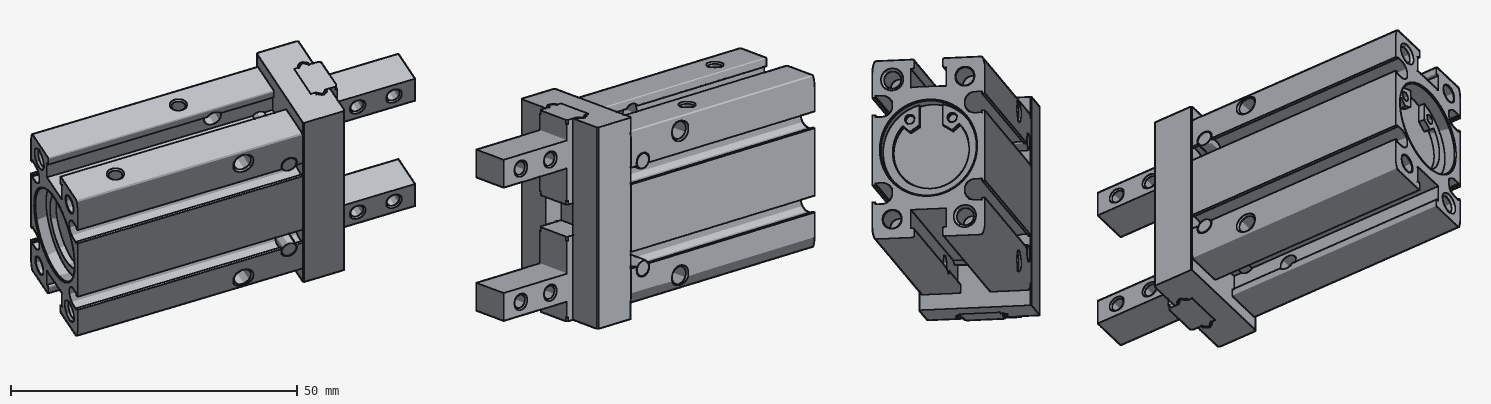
import cadquery as cq
import math

TOTAL_LENGTH = 67.4
WIDTH = 20.0
HALF_WIDTH = WIDTH / 2

BODY_LENGTH = 43.15
BODY_HALF_HEIGHT = 16.0
SHOULDER_Z = 13.95
SHOULDER_RADIUS = 4.7
CORNER_FILLET = 0.5

SLOT_MOUTH_WIDTH = 5.05
SLOT_INNER_WIDTH = 6.3
SLOT_FLOOR_Z = 11.0
SLOT_LIP_Z = 14.3
SLOT_LIP_FILLET = 0.35

GROOVE_WIDTH = 3.8
GROOVE_MOUTH = 3.1
GROOVE_LIP_X = 9.5
GROOVE_X = 8.3
GROOVE_Z = 7.8

PIN_DIAMETER = 3.0
PIN_END_DIAMETER = 2.75
PIN_TAPER_START_X = 9.5
PIN_Y = 40.45
PIN_Z = 10.0

BORE_DIAMETER = 17.0
BORE_CHAMFER = 0.2
BORE_DEPTH = 3.4
RING_INNER_RADIUS = 6.8
RING_FRONT_Y = 2.2
RING_GAP_HALF = 2.1
RING_EAR_X = 3.8
RING_EAR_HOLE_Z = 5.8
RING_EAR_SHOULDER_Z = 4.6
RING_EAR_TIP_Z = 3.5
RING_EAR_OUTER_X = 5.0
RING_EAR_HOLE_DIAMETER = 1.7

END_HOLE_X = 6.5
END_HOLE_Z = 12.55
END_HOLE_DEPTH = 6.75
END_TAP_DIAMETER = 3.0
END_TAP_MOUTH = 4.0
END_DOWEL_DIAMETER = 3.25
END_DOWEL_MOUTH = 3.45
SIDE_HOLE_DIAMETER = 3.25
SIDE_HOLE_MOUTH = 3.9
SIDE_HOLE_Y = 31.7
SIDE_HOLE_Z = 13.5
PORT_DIAMETER = 2.4
PORT_MOUTH = 3.0
PORT_DEPTH = 3.4
PORT_X = 6.0
PORT_FRONT_Y = 9.0
PORT_REAR_Y = 26.4

PLATE_END_Y = 51.1
PLATE_HALF_HEIGHT = 18.705
PLATE_CHAMFER = 0.2
RAIL_HALF_WIDTH = 3.6
RAIL_FLOOR_Y = 47.45
RAIL_AXIS_Y = 49.35
CHANNEL_V_HALF_HEIGHT = 1.0
CHANNEL_V_SHOULDER_X = 4.05
CHANNEL_V_TIP_X = 4.6
CHANNEL_V_TIP_HALF_HEIGHT = 0.3

FINGER_V_HALF_HEIGHT = 0.9
FINGER_V_TIP_X = 4.45
FINGER_STEP_Y = 52.5
FINGER_BASE_INNER_Z = 2.95
RAIL_LENGTH = PLATE_HALF_HEIGHT - FINGER_BASE_INNER_Z
FINGER_CORNER_CHAMFER = 0.35
FINGER_CORNER_LENGTH = 0.75
PRONG_OUTER_Z = 14.95
PRONG_INNER_Z = 9.8
PRONG_ROOT_FILLET = 0.15
PRONG_HOLE_Z = (PRONG_OUTER_Z + PRONG_INNER_Z) / 2
PRONG_HOLE_DIAMETER = 2.4
PRONG_HOLE_MOUTH = 3.0
PRONG_HOLE_YS = (56.4, 63.35)

SELECTION_MARGIN = 0.1


def box(x_range, y_range, z_range):
    """Box between two limits on each axis."""
    (x0, x1), (y0, y1), (z0, z1) = x_range, y_range, z_range
    return cq.Workplane("XY").box(x1 - x0, y1 - y0, z1 - z0, centered=False).translate((x0, y0, z0))


def edges_within(x_range, y_range, z_range):
    """Selector for edges whose centre lies within three limits, ends included."""
    limits = [sorted(limit) for limit in (x_range, y_range, z_range)]
    low_corner = tuple(low - SELECTION_MARGIN for low, high in limits)
    high_corner = tuple(high + SELECTION_MARGIN for low, high in limits)
    return cq.selectors.BoxSelector(low_corner, high_corner)


def countersunk_hole(diameter, mouth, depth, start, direction):
    """Drill shape with a 45 degree cone that narrows from the mouth at `start`."""
    start = cq.Vector(*start)
    direction = cq.Vector(*direction)
    cone_depth = (mouth - diameter) / 2
    drill = cq.Solid.makeCylinder(diameter / 2, depth, start, direction)
    cone = cq.Solid.makeCone(mouth / 2, diameter / 2, cone_depth, start, direction)
    return drill.fuse(cone)


def through_hole_in_x(diameter, mouth, half_width, y, z):
    """Hole along X countersunk at both ends."""
    drills = [
        countersunk_hole(diameter, mouth, half_width, (side * half_width, y, z), (-side, 0, 0))
        for side in (-1, 1)
    ]
    return drills[0].fuse(drills[1])


def body_blank():
    """Body section with curved shoulders, extruded along Y."""
    shoulder_rise = BODY_HALF_HEIGHT - SHOULDER_Z
    shoulder_inset = SHOULDER_RADIUS - math.sqrt(SHOULDER_RADIUS**2 - shoulder_rise**2)
    top_half_width = HALF_WIDTH - shoulder_inset
    body = (
        cq.Workplane("XZ")
        .moveTo(HALF_WIDTH, -SHOULDER_Z)
        .lineTo(HALF_WIDTH, SHOULDER_Z)
        .radiusArc((top_half_width, BODY_HALF_HEIGHT), -SHOULDER_RADIUS)
        .lineTo(-top_half_width, BODY_HALF_HEIGHT)
        .radiusArc((-HALF_WIDTH, SHOULDER_Z), -SHOULDER_RADIUS)
        .lineTo(-HALF_WIDTH, -SHOULDER_Z)
        .radiusArc((-top_half_width, -BODY_HALF_HEIGHT), -SHOULDER_RADIUS)
        .lineTo(top_half_width, -BODY_HALF_HEIGHT)
        .radiusArc((HALF_WIDTH, -SHOULDER_Z), -SHOULDER_RADIUS)
        .close()
        .extrude(-BODY_LENGTH)
    )
    for z in (-BODY_HALF_HEIGHT, BODY_HALF_HEIGHT):
        corners = edges_within((-HALF_WIDTH, HALF_WIDTH), (0, BODY_LENGTH), (z, z))
        body = body.edges("|Y").edges(corners).fillet(CORNER_FILLET)
    return body


def cut_t_slots(body):
    """T-slots with rounded lips in the top and bottom faces."""
    mouth_half = SLOT_MOUTH_WIDTH / 2
    inner_half = SLOT_INNER_WIDTH / 2
    y_range = (0, BODY_LENGTH)
    for side in (-1, 1):
        mouth_z = sorted((side * SLOT_FLOOR_Z, side * BODY_HALF_HEIGHT))
        inner_z = sorted((side * SLOT_FLOOR_Z, side * SLOT_LIP_Z))
        body = body.cut(box((-mouth_half, mouth_half), y_range, mouth_z))
        body = body.cut(box((-inner_half, inner_half), y_range, inner_z))
    lip_edges = edges_within(
        (-mouth_half, mouth_half), y_range, (-BODY_HALF_HEIGHT, BODY_HALF_HEIGHT))
    return body.edges("|Y").edges(lip_edges).fillet(SLOT_LIP_FILLET)


def cut_sensor_grooves(body):
    """Round-bottomed grooves with a narrower mouth, two on each side."""
    y_range = (0, BODY_LENGTH)
    z_range = (-BODY_HALF_HEIGHT, BODY_HALF_HEIGHT)
    for side in (-1, 1):
        for level in (-1, 1):
            x = side * GROOVE_X
            z = level * GROOVE_Z
            floor = cq.Workplane("XZ").center(x, z).circle(GROOVE_WIDTH / 2).extrude(-BODY_LENGTH)
            floor = floor.intersect(box((-GROOVE_LIP_X, GROOVE_LIP_X), y_range, z_range))
            chamber_x = sorted((x, side * GROOVE_LIP_X))
            chamber_z = (z - GROOVE_WIDTH / 2, z + GROOVE_WIDTH / 2)
            mouth_x = sorted((x, side * HALF_WIDTH))
            mouth_z = (z - GROOVE_MOUTH / 2, z + GROOVE_MOUTH / 2)
            body = body.cut(floor)
            body = body.cut(box(chamber_x, y_range, chamber_z))
            body = body.cut(box(mouth_x, y_range, mouth_z))
    return body


def cross_pin(z):
    """Pin along X with tapered ends."""
    return (
        cq.Workplane("XY", origin=(0, PIN_Y, z))
        .moveTo(-HALF_WIDTH, 0)
        .lineTo(-HALF_WIDTH, PIN_END_DIAMETER / 2)
        .lineTo(-PIN_TAPER_START_X, PIN_DIAMETER / 2)
        .lineTo(PIN_TAPER_START_X, PIN_DIAMETER / 2)
        .lineTo(HALF_WIDTH, PIN_END_DIAMETER / 2)
        .lineTo(HALF_WIDTH, 0)
        .close()
        .revolve(360, (0, 0), (1, 0))
    )


def add_cross_pins(body):
    """Pins that span the body in reamed holes and show in the slots and grooves."""
    for z in (-PIN_Z, PIN_Z):
        reamed_hole = cq.Workplane("YZ").center(PIN_Y, z).circle(PIN_DIAMETER / 2)
        body = body.cut(reamed_hole.extrude(HALF_WIDTH, both=True))
        body = body.union(cross_pin(z))
    return body


def cut_bore(body):
    """Shallow bore with a chamfered rim in the cylinder end."""
    bore = countersunk_hole(
        BORE_DIAMETER, BORE_DIAMETER + 2 * BORE_CHAMFER, BORE_DEPTH, (0, 0, 0), (0, 1, 0))
    return body.cut(cq.Workplane(bore))


def retaining_ring():
    """Open ring with two drilled ears, seated on the bore floor."""
    thickness = BORE_DEPTH - RING_FRONT_Y
    plane = cq.Workplane("XZ", origin=(0, RING_FRONT_Y, 0))
    disc = plane.circle(BORE_DIAMETER / 2).extrude(-thickness)
    opening = plane.circle(RING_INNER_RADIUS).extrude(-thickness)
    for side in (-1, 1):
        ear = (
            plane.moveTo(side * RING_GAP_HALF, BORE_DIAMETER / 2)
            .lineTo(side * RING_GAP_HALF, RING_EAR_SHOULDER_Z)
            .lineTo(side * RING_EAR_X, RING_EAR_TIP_Z)
            .lineTo(side * RING_EAR_OUTER_X, RING_EAR_SHOULDER_Z)
            .lineTo(side * RING_EAR_OUTER_X, BORE_DIAMETER / 2)
            .close()
            .extrude(-thickness)
        )
        opening = opening.cut(ear)
    gap = box((-RING_GAP_HALF, RING_GAP_HALF), (RING_FRONT_Y, BORE_DEPTH), (0, BORE_DIAMETER / 2))
    ear_holes = (
        plane.pushPoints([(-RING_EAR_X, RING_EAR_HOLE_Z), (RING_EAR_X, RING_EAR_HOLE_Z)])
        .circle(RING_EAR_HOLE_DIAMETER / 2)
        .extrude(-thickness)
    )
    return disc.cut(opening).cut(gap).cut(ear_holes)


def cut_mounting_holes(body):
    """Tapped and dowel holes in the end, through holes in the sides and ports on top."""
    drills = []
    for side in (-1, 1):
        for level in (-1, 1):
            tapped = side != level
            diameter = END_TAP_DIAMETER if tapped else END_DOWEL_DIAMETER
            mouth = END_TAP_MOUTH if tapped else END_DOWEL_MOUTH
            start = (side * END_HOLE_X, 0, level * END_HOLE_Z)
            drills.append(countersunk_hole(diameter, mouth, END_HOLE_DEPTH, start, (0, 1, 0)))
        drills.append(
            through_hole_in_x(
                SIDE_HOLE_DIAMETER, SIDE_HOLE_MOUTH, HALF_WIDTH, SIDE_HOLE_Y, side * SIDE_HOLE_Z))
    for x, y in ((PORT_X, PORT_FRONT_Y), (-PORT_X, PORT_REAR_Y)):
        start = (x, y, BODY_HALF_HEIGHT)
        drills.append(countersunk_hole(PORT_DIAMETER, PORT_MOUTH, PORT_DEPTH, start, (0, 0, -1)))
    for drill in drills:
        body = body.cut(cq.Workplane(drill))
    return body


def guide_plate():
    """Plate across the body end with a V-sided channel for the fingers."""
    plate = box(
        (-HALF_WIDTH, HALF_WIDTH),
        (BODY_LENGTH, PLATE_END_Y),
        (-PLATE_HALF_HEIGHT, PLATE_HALF_HEIGHT),
    )
    plate = plate.edges("|Z").chamfer(PLATE_CHAMFER)
    channel = box(
        (-RAIL_HALF_WIDTH, RAIL_HALF_WIDTH),
        (RAIL_FLOOR_Y, PLATE_END_Y),
        (-PLATE_HALF_HEIGHT, PLATE_HALF_HEIGHT),
    )
    plate = plate.cut(channel)
    for start_z in (-PLATE_HALF_HEIGHT, FINGER_BASE_INNER_Z):
        v_sides = (
            cq.Workplane("XY", origin=(0, RAIL_AXIS_Y, start_z))
            .polyline([
                (-CHANNEL_V_SHOULDER_X, CHANNEL_V_HALF_HEIGHT),
                (CHANNEL_V_SHOULDER_X, CHANNEL_V_HALF_HEIGHT),
                (CHANNEL_V_TIP_X, CHANNEL_V_TIP_HALF_HEIGHT),
                (CHANNEL_V_TIP_X, -CHANNEL_V_TIP_HALF_HEIGHT),
                (CHANNEL_V_SHOULDER_X, -CHANNEL_V_HALF_HEIGHT),
                (-CHANNEL_V_SHOULDER_X, -CHANNEL_V_HALF_HEIGHT),
                (-CHANNEL_V_TIP_X, -CHANNEL_V_TIP_HALF_HEIGHT),
                (-CHANNEL_V_TIP_X, CHANNEL_V_TIP_HALF_HEIGHT),
            ])
            .close()
            .extrude(RAIL_LENGTH)
        )
        plate = plate.cut(v_sides)
    return plate


def make_housing():
    """Cylinder body and guide plate in one piece."""
    body = cut_sensor_grooves(cut_t_slots(body_blank()))
    body = add_cross_pins(body)
    body = cut_mounting_holes(cut_bore(body))
    return body.union(retaining_ring()).union(guide_plate())


def cut_base_corners(base):
    """Short chamfers on the long upper edges of a finger base, one at each end."""
    end_zs = (FINGER_BASE_INNER_Z, PLATE_HALF_HEIGHT - FINGER_CORNER_LENGTH)
    for side in (-1, 1):
        for z in end_zs:
            wedge = (
                cq.Workplane("XY", origin=(side * RAIL_HALF_WIDTH, FINGER_STEP_Y, z))
                .polyline([(0, 0), (-side * FINGER_CORNER_CHAMFER, 0), (0, -FINGER_CORNER_CHAMFER)])
                .close()
                .extrude(FINGER_CORNER_LENGTH)
            )
            base = base.cut(wedge)
    return base


def make_finger(side):
    """Finger on the +Z (side = 1) or -Z (side = -1) half: V-edged rail, base and drilled prong."""
    base_z = (FINGER_BASE_INNER_Z, PLATE_HALF_HEIGHT)
    rail_x = (-RAIL_HALF_WIDTH, RAIL_HALF_WIDTH)
    base = box(rail_x, (RAIL_FLOOR_Y, FINGER_STEP_Y), base_z)
    base = cut_base_corners(base)
    v_rails = (
        cq.Workplane("XY", origin=(0, RAIL_AXIS_Y, FINGER_BASE_INNER_Z))
        .polyline([
            (-RAIL_HALF_WIDTH, FINGER_V_HALF_HEIGHT),
            (RAIL_HALF_WIDTH, FINGER_V_HALF_HEIGHT),
            (FINGER_V_TIP_X, 0),
            (RAIL_HALF_WIDTH, -FINGER_V_HALF_HEIGHT),
            (-RAIL_HALF_WIDTH, -FINGER_V_HALF_HEIGHT),
            (-FINGER_V_TIP_X, 0),
        ])
        .close()
        .extrude(RAIL_LENGTH)
    )
    prong = box(rail_x, (FINGER_STEP_Y, TOTAL_LENGTH), (PRONG_INNER_Z, PRONG_OUTER_Z))
    finger = base.union(prong)
    root_edges = edges_within(
        rail_x, (FINGER_STEP_Y, FINGER_STEP_Y), (PRONG_INNER_Z, PRONG_OUTER_Z))
    finger = finger.edges("|X").edges(root_edges).fillet(PRONG_ROOT_FILLET)
    finger = finger.union(v_rails)
    for y in PRONG_HOLE_YS:
        hole = through_hole_in_x(
            PRONG_HOLE_DIAMETER, PRONG_HOLE_MOUTH, RAIL_HALF_WIDTH, y, PRONG_HOLE_Z)
        finger = finger.cut(cq.Workplane(hole))
    return finger if side > 0 else finger.mirror("XY")


housing = make_housing()
fingers = [make_finger(side) for side in (1, -1)]

result = cq.Compound.makeCompound([housing.val(), *[finger.val() for finger in fingers]])